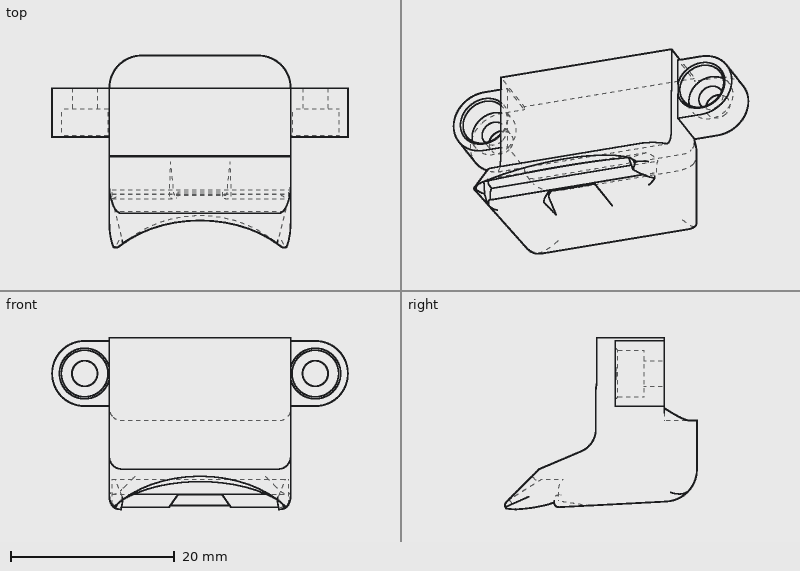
import cadquery as cq
import math

BODY_WIDTH = 22.2
BODY_TOP = 4.4
UPPER_FRONT = -8.3
LOWER_FRONT = -8.4
STEP_TOP = -1.25
STEP_BOTTOM = -1.9
HEEL_BACK = 4.0
HEEL_TOP = -5.74
HEEL_RADIUS = 4.0
EDGE_RADIUS = 1.5
UNDERSIDE_AT_BACK = -15.68
UNDERSIDE_ANGLE = 3.0

BROW_Y = -15.32
BROW_Z = -11.68
DECK_ANGLE = 23.0
DECK_FILLET = 2.9
TIP_RADIUS = 0.565

LIP_THICKNESS = 0.92
SCOOP_RADIUS = 13.1
SCOOP_APEX_Y = -16.2
SCOOP_DEPTH = 3.0

CAVITY_BACK_WIDTH = 21.6
CAVITY_TIP_WIDTH = 18.8
CAVITY_CEILING_ANGLE = 32.3
CAVITY_TOP = -12.9
ROLL_FRONT = -13.0
ROLL_RADIUS = 2.0
ROLL_Z = -14.3
LEDGE_TOP = -14.75
LEDGE_FRONT = -13.5
LEDGE_SHOULDER = -15.0
LEDGE_RADIUS = 0.6
GAP_TOP_WIDTH = 5.4
GAP_BOTTOM_WIDTH = 7.6
GAP_TOP = -14.8
GAP_NOSE_RADIUS = 0.4
GAP_SETBACK = 0.4
GAP_BACK = -9.0

LUG_SPACING = 28.2
LUG_RADIUS = 4.0
LUG_DEPTH = 6.0
HOLE_DIAMETER = 3.1
BORE_DIAMETER = 5.7
BORE_DEPTH = 3.5
BORE_CHAMFER = 0.25

SELECT_MARGIN = 0.05

UNDERSIDE_SLOPE = math.tan(math.radians(UNDERSIDE_ANGLE))
NOSE_OFFSET = BROW_Z - BROW_Y
LIP_EDGE_Y = SCOOP_APEX_Y + LIP_THICKNESS * math.sqrt(0.5)
LIP_EDGE_Z = SCOOP_APEX_Y + NOSE_OFFSET - LIP_THICKNESS * math.sqrt(0.5)
CEILING_SLOPE = math.tan(math.radians(CAVITY_CEILING_ANGLE))
TIP_Y = (UNDERSIDE_AT_BACK - NOSE_OFFSET) / (1 - UNDERSIDE_SLOPE)
DECK_TOP_Z = BROW_Z + (LOWER_FRONT - BROW_Y) * math.tan(math.radians(DECK_ANGLE))
BELOW_BODY = UNDERSIDE_AT_BACK - BODY_TOP


def underside_z(y):
    return UNDERSIDE_AT_BACK + UNDERSIDE_SLOPE * y


def extrude_across(outline, width):
    """Extrude an outline in the YZ plane evenly to both sides of the middle."""
    return outline.close().extrude(width / 2, both=True)


def edge_at(y, z, half_width=SELECT_MARGIN):
    """Select edges centred at (y, z), within half_width of the middle of the part."""
    low = (-half_width, y - SELECT_MARGIN, z - SELECT_MARGIN)
    high = (half_width, y + SELECT_MARGIN, z + SELECT_MARGIN)
    return cq.selectors.BoxSelector(low, high)


def make_side_block():
    """Full-width side profile, carried up to the body top over the heel."""
    outline = cq.Workplane("YZ").polyline(
        [
            (HEEL_BACK, BODY_TOP),
            (UPPER_FRONT, BODY_TOP),
            (UPPER_FRONT, STEP_TOP),
            (LOWER_FRONT, STEP_BOTTOM),
            (LOWER_FRONT, DECK_TOP_Z),
            (BROW_Y, BROW_Z),
            (TIP_Y, underside_z(TIP_Y)),
            (HEEL_BACK, underside_z(HEEL_BACK)),
        ]
    )
    block = extrude_across(outline, BODY_WIDTH)
    block = block.edges(edge_at(LOWER_FRONT, DECK_TOP_Z)).fillet(DECK_FILLET)
    return block.edges(edge_at(HEEL_BACK, underside_z(HEEL_BACK))).fillet(HEEL_RADIUS)


def round_side_edges(block):
    """Round the side edges of the underside and of the nose."""
    nose_y = (BROW_Y + TIP_Y) / 2
    nose_edges = edge_at(nose_y, nose_y + NOSE_OFFSET, BODY_WIDTH)
    heel_centre_y = HEEL_BACK - HEEL_RADIUS
    underside_start = heel_centre_y + HEEL_RADIUS * math.sin(math.radians(UNDERSIDE_ANGLE))
    underside_y = (underside_start + TIP_Y) / 2
    underside_edges = edge_at(underside_y, underside_z(underside_y), BODY_WIDTH)
    return block.edges(nose_edges + underside_edges).edges("<X or >X").fillet(EDGE_RADIUS)


def make_plan_block():
    """Block with the rounded rear corners of the plan outline."""
    length = HEEL_BACK - TIP_Y
    block = cq.Workplane("XY").box(
        BODY_WIDTH, length, BODY_TOP - BELOW_BODY, centered=(True, False, False)
    )
    block = block.translate((0, TIP_Y, BELOW_BODY))
    return block.edges("|Z and >Y").fillet(HEEL_RADIUS)


def make_heel_cutter():
    """Space above the heel, blending upward along both sides."""
    cutter = cq.Workplane("XY").box(
        BODY_WIDTH, 2 * HEEL_BACK, 2 * (BODY_TOP - HEEL_TOP), centered=(True, False, False)
    )
    cutter = cutter.translate((0, 0, HEEL_TOP))
    return cutter.edges("|Y and <Z").fillet(EDGE_RADIUS)


def make_body():
    side_block = make_side_block()
    tip_edge = edge_at(TIP_Y, underside_z(TIP_Y))
    body = round_side_edges(side_block).intersect(make_plan_block())
    body = body.intersect(side_block.edges(tip_edge).fillet(TIP_RADIUS))
    return body.cut(make_heel_cutter())


def roll_point(z):
    """Point on the rounded cavity wall at height z."""
    rise = z - ROLL_Z
    return (ROLL_FRONT + ROLL_RADIUS - math.sqrt(ROLL_RADIUS**2 - rise**2), z)


def ceiling_y(z):
    """Place along Y where the sloped cavity ceiling is at height z."""
    return LIP_EDGE_Y + (z - LIP_EDGE_Z) / CEILING_SLOPE


def make_cavity():
    """Space behind the lip, bounded at the back by the rounded wall and the ledge."""
    knife_y = (LIP_EDGE_Z - NOSE_OFFSET - CEILING_SLOPE * LIP_EDGE_Y) / (1 - CEILING_SLOPE)
    knife_z = knife_y + NOSE_OFFSET
    ledge_bottom = underside_z(LEDGE_FRONT + LEDGE_RADIUS)
    diagonal = LEDGE_RADIUS * math.sqrt(0.5)
    outline = (
        cq.Workplane("YZ")
        .moveTo(ceiling_y(CAVITY_TOP), CAVITY_TOP)
        .lineTo(*roll_point(CAVITY_TOP))
        .threePointArc(roll_point(ROLL_Z), roll_point(LEDGE_TOP))
        .lineTo(LEDGE_FRONT, LEDGE_SHOULDER)
        .lineTo(LEDGE_FRONT, ledge_bottom + LEDGE_RADIUS)
        .threePointArc(
            (LEDGE_FRONT + LEDGE_RADIUS - diagonal, ledge_bottom + LEDGE_RADIUS - diagonal),
            (LEDGE_FRONT + LEDGE_RADIUS, ledge_bottom),
        )
        .lineTo(LEDGE_FRONT + LEDGE_RADIUS, BELOW_BODY)
        .lineTo(TIP_Y, BELOW_BODY)
        .lineTo(TIP_Y, knife_z)
        .lineTo(knife_y, knife_z)
    )
    cavity = extrude_across(outline, CAVITY_BACK_WIDTH)
    cavity = cavity.edges(edge_at(LEDGE_FRONT, LEDGE_SHOULDER)).fillet(LEDGE_RADIUS)
    plan = (
        cq.Workplane("XY", origin=(0, 0, BELOW_BODY))
        .polyline(
            [
                (-CAVITY_BACK_WIDTH / 2, 0),
                (-CAVITY_BACK_WIDTH / 2, LEDGE_FRONT),
                (-CAVITY_TIP_WIDTH / 2, knife_y),
                (-CAVITY_TIP_WIDTH / 2, TIP_Y),
                (CAVITY_TIP_WIDTH / 2, TIP_Y),
                (CAVITY_TIP_WIDTH / 2, knife_y),
                (CAVITY_BACK_WIDTH / 2, LEDGE_FRONT),
                (CAVITY_BACK_WIDTH / 2, 0),
            ]
        )
        .close()
        .extrude(-BELOW_BODY)
    )
    return cavity.intersect(plan)


def make_ledge_gap():
    """Flared gap where the ledge is set back and its underside rises."""
    front = LEDGE_FRONT
    nose_y = front + GAP_SETBACK
    nose_base_y = nose_y + GAP_NOSE_RADIUS
    profile = (
        cq.Workplane("YZ")
        .moveTo(front, GAP_TOP)
        .lineTo(nose_base_y, GAP_TOP)
        .threePointArc(
            (nose_y, GAP_TOP - GAP_NOSE_RADIUS), (nose_base_y, GAP_TOP - 2 * GAP_NOSE_RADIUS)
        )
        .lineTo(GAP_BACK, underside_z(GAP_BACK))
        .lineTo(GAP_BACK, BELOW_BODY)
        .lineTo(front, BELOW_BODY)
    )
    wedge = extrude_across(profile, GAP_BOTTOM_WIDTH)
    flare = (
        cq.Workplane("XZ", origin=(0, GAP_BACK, 0))
        .polyline(
            [
                (-GAP_TOP_WIDTH / 2, GAP_TOP),
                (GAP_TOP_WIDTH / 2, GAP_TOP),
                (GAP_BOTTOM_WIDTH / 2, underside_z(front)),
                (-GAP_BOTTOM_WIDTH / 2, underside_z(front)),
            ]
        )
        .close()
        .extrude(GAP_BACK - front)
    )
    return wedge.intersect(flare)


def make_scoop():
    """Cylinder square to the nose plane that cuts the arc out of the lip."""
    down_slope = math.sqrt(0.5) * SCOOP_RADIUS
    centre = (0, SCOOP_APEX_Y - down_slope, SCOOP_APEX_Y + NOSE_OFFSET - down_slope)
    plane = cq.Plane(origin=centre, xDir=(1, 0, 0), normal=(0, 1, -1))
    return (
        cq.Workplane(plane)
        .workplane(offset=-SCOOP_DEPTH)
        .circle(SCOOP_RADIUS)
        .extrude(2 * SCOOP_DEPTH)
    )


def make_lug(side):
    """Screw lug on one side, from the screw inward to the body wall."""
    screw_x = side * LUG_SPACING / 2
    inner_x = side * BODY_WIDTH / 2
    front = cq.Workplane("XZ", origin=(screw_x, 0, 0))
    lug = front.circle(LUG_RADIUS).extrude(LUG_DEPTH)
    arm = cq.Workplane("XY").box(
        abs(screw_x - inner_x), LUG_DEPTH, 2 * LUG_RADIUS
    ).translate(((screw_x + inner_x) / 2, -LUG_DEPTH / 2, 0))
    lug = lug.union(arm)
    hole = front.circle(HOLE_DIAMETER / 2).extrude(LUG_DEPTH)
    bore_floor = front.workplane(offset=LUG_DEPTH - BORE_DEPTH)
    bore = bore_floor.circle(BORE_DIAMETER / 2).extrude(BORE_DEPTH)
    rim = (
        front.workplane(offset=LUG_DEPTH - BORE_CHAMFER)
        .circle(BORE_DIAMETER / 2)
        .workplane(offset=BORE_CHAMFER)
        .circle(BORE_DIAMETER / 2 + BORE_CHAMFER)
        .loft()
    )
    return lug.cut(hole).cut(bore).cut(rim)


result = make_body().cut(make_cavity())
result = result.cut(make_ledge_gap()).cut(make_scoop())
for lug_side in (-1, 1):
    result = result.union(make_lug(lug_side))